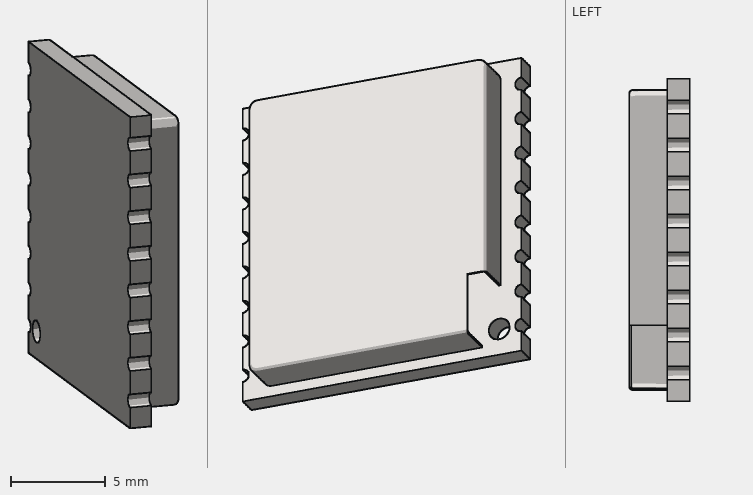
import cadquery as cq

BOARD_WIDTH = 16.0
BOARD_HEIGHT = 17.0
BOARD_THICKNESS = 1.19

CONTACTS_PER_SIDE = 8
END_MARGIN = 1.5
CONTACT_PITCH = (BOARD_HEIGHT - 2 * END_MARGIN) / (CONTACTS_PER_SIDE - 1)
NOTCH_RADIUS = 0.35
PAD_LENGTH = 1.19
PAD_HEIGHT = 1.09

MARKED_PAD_START = 0.25
MARKED_PAD_END = 2.25
MARKED_PAD_HEIGHT = 1.58
MARKED_HOLE_X = 1.28
MARKED_HOLE_RADIUS = 0.6

CAN_SIDE_INSET = 1.19
CAN_END_INSET = 0.6
CAN_DEPTH = 2.0
CAN_WALL = 0.1
CAN_CORNER_RADIUS = 0.5
CAN_RIM_RADIUS = 0.2
CUTOUT_TOP = 4.01
CUTOUT_SIDE = MARKED_PAD_END


def block(x_range, y_range, z_range):
    """Box between the given limits on each axis."""
    (x0, x1), (y0, y1), (z0, z1) = x_range, y_range, z_range
    return cq.Workplane("XY").box(x1 - x0, y1 - y0, z1 - z0, centered=False).translate((x0, y0, z0))


def board_bore(x, z, radius):
    """Cylinder along Y through the full board thickness."""
    return cq.Workplane("XZ").center(x, z).circle(radius).extrude(-BOARD_THICKNESS)


def pad_face(x0, x1, z, height):
    """Flat rectangle on the Y = 0 face, centred on height z."""
    center = cq.Vector((x0 + x1) / 2, 0, z)
    flat = cq.Plane(origin=center, xDir=(1, 0, 0), normal=(0, -1, 0))
    return cq.Face.makeFromWires(cq.Workplane(flat).rect(x1 - x0, height).val())


def marked_pad_face():
    """Pad around the hole, with a narrower neck out to the board edge."""
    z = END_MARGIN
    neck = PAD_HEIGHT / 2
    half = MARKED_PAD_HEIGHT / 2
    outline = (
        cq.Workplane("XZ")
        .moveTo(0, z - neck)
        .lineTo(MARKED_PAD_START, z - neck)
        .lineTo(MARKED_PAD_START, z - half)
        .lineTo(MARKED_PAD_END, z - half)
        .lineTo(MARKED_PAD_END, z + half)
        .lineTo(MARKED_PAD_START, z + half)
        .lineTo(MARKED_PAD_START, z + neck)
        .lineTo(0, z + neck)
        .close()
    )
    return cq.Face.makeFromWires(outline.val())


def make_board():
    """Board with edge notches, the marked hole and pads outlined flush on its face."""
    board = block((0, BOARD_WIDTH), (0, BOARD_THICKNESS), (0, BOARD_HEIGHT))
    board = board.cut(board_bore(MARKED_HOLE_X, END_MARGIN, MARKED_HOLE_RADIUS))
    pads = [marked_pad_face()]
    for index in range(CONTACTS_PER_SIDE):
        z = END_MARGIN + index * CONTACT_PITCH
        for edge_x in (0, BOARD_WIDTH):
            board = board.cut(board_bore(edge_x, z, NOTCH_RADIUS))
        pads.append(pad_face(BOARD_WIDTH - PAD_LENGTH, BOARD_WIDTH, z, PAD_HEIGHT))
        if index > 0:
            pads.append(pad_face(0, PAD_LENGTH, z, PAD_HEIGHT))
    return board.val().split(*pads).Solids()[0]


def can_block(inset):
    """Rounded block of the can's outer form, moved inwards by inset on all but its open side."""
    side = CAN_SIDE_INSET + inset
    end = CAN_END_INSET + inset
    return (
        block(
            (side, BOARD_WIDTH - side),
            (BOARD_THICKNESS, BOARD_THICKNESS + CAN_DEPTH - inset),
            (end, BOARD_HEIGHT - end),
        )
        .edges("|Y")
        .fillet(CAN_CORNER_RADIUS - inset)
        .faces(">Y")
        .edges()
        .fillet(CAN_RIM_RADIUS - inset)
    )


def make_can():
    """Hollow can with its lower left corner cut away around the marked contact."""
    cutout = block(
        (0, CUTOUT_SIDE),
        (BOARD_THICKNESS, BOARD_THICKNESS + CAN_DEPTH),
        (0, CUTOUT_TOP),
    )
    return can_block(0).cut(can_block(CAN_WALL)).cut(cutout).solids().val()


board = make_board()
shield_can = make_can()

result = cq.Compound.makeCompound([board, shield_can])